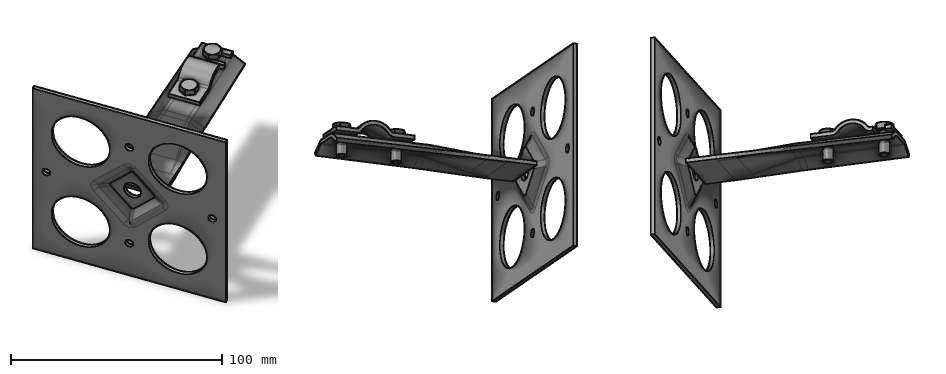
import cadquery as cq
import math

SHEET = 2.0

PLATE_WIDTH = 99.5
PLATE_HEIGHT = 100.0
LARGE_HOLE_DIA = 30.0
LARGE_HOLE_PITCH = 50.0
SMALL_HOLE_DIA = 4.0
SMALL_HOLE_X = 42.7
SMALL_HOLE_Z = 30.0
CUP_DEPTH = 4.0
CUP_SLOPE = 39.0
CUP_FLOOR_SIDE = 17.0
CUP_CORNER_RADIUS = 1.9
CUP_MOUTH_RADIUS = 5.2
CUP_HOLE_DIA = 8.8
CUP_BACK_Y = SHEET + CUP_DEPTH

ARM_END_Y = 108.02
TAB_HALF_WIDTH = 14.63
TAB_TOP_Z = SHEET / 2
FOLD_RADIUS = 3.7
FOLD_START_BAND = 0.1
TAB_FOLD_HALF_WIDTH = 11.95
LOWER_BEND_Y = (21.0, 30.5)
UPPER_BEND_Y = (54.6, 57.7)
CHANNEL_RISE = 4.4
RAMP_FOLD_HALF_WIDTH = 11.4
CHANNEL_FOLD_HALF_WIDTH = 6.7
CHANNEL_HALF_WIDTH = 14.3
END_FOLD_HALF_WIDTH = 6.57
END_HALF_WIDTH = 13.6

CLIP_Y = 86.0
CLIP_LENGTH = 40.2
CLIP_WIDTH = 16.0
CLIP_BOTTOM_Z = 6.6
CLIP_TOP_Z = CLIP_BOTTOM_Z + SHEET
ARCH_RADIUS = 10.0
ARCH_TOP_Z = 13.5
ARCH_BEND_RADIUS = 1.7
CLIP_HOLE_DIA = 6.0

BOLT_SPACING = 28.0
BOLT_DIA = 5.0
BOLT_LENGTH = 12.0
BOLT_TIP_CHAMFER = 0.4
HEAD_ACROSS_FLATS = 8.0
HEAD_HEIGHT = 3.5
HEAD_CROWN_ANGLE = 30.0
WASHER_FACE_HEIGHT = 0.3
WASHER_FACE_DIA = 7.0
NEAR_BOLT_Y = CLIP_Y - BOLT_SPACING / 2
FAR_BOLT_Y = CLIP_Y + BOLT_SPACING / 2


def cup_frustum(floor_side, floor_y, height, corner_radius):
    """Diamond frustum widening from its floor toward the plate face, with rounded corners."""
    mouth_side = floor_side + 2 * height / math.tan(math.radians(CUP_SLOPE))
    frustum = (
        cq.Workplane("XZ", origin=(0, floor_y, 0))
        .transformed(rotate=(0, 0, 45))
        .rect(floor_side, floor_side)
        .workplane(offset=height)
        .rect(mouth_side, mouth_side)
        .loft(ruled=True)
    )
    return frustum.edges("not(#Y)").fillet(corner_radius)


def make_plate():
    plate = cq.Workplane("XY").box(PLATE_WIDTH, SHEET, PLATE_HEIGHT, centered=(True, False, True))

    floor_growth = 2 * SHEET * math.tan(math.radians(CUP_SLOPE / 2))
    outer_side = CUP_FLOOR_SIDE + floor_growth
    outer = cup_frustum(outer_side, CUP_BACK_Y, CUP_DEPTH, CUP_CORNER_RADIUS + SHEET)
    plate = plate.union(outer)
    plate = plate.edges(cup_rim(SHEET)).fillet(CUP_MOUTH_RADIUS - SHEET)

    inner = cup_frustum(CUP_FLOOR_SIDE, CUP_DEPTH, CUP_DEPTH, CUP_CORNER_RADIUS)
    plate = plate.cut(inner)
    plate = plate.edges(cup_rim(0)).fillet(CUP_MOUTH_RADIUS)

    half_pitch = LARGE_HOLE_PITCH / 2
    large_holes = [(x, z) for x in (-half_pitch, half_pitch) for z in (-half_pitch, half_pitch)]
    small_holes = [(-SMALL_HOLE_X, 0), (SMALL_HOLE_X, 0), (0, -SMALL_HOLE_Z), (0, SMALL_HOLE_Z)]
    for centres, diameter in (
        (large_holes, LARGE_HOLE_DIA),
        (small_holes, SMALL_HOLE_DIA),
        ([(0, 0)], CUP_HOLE_DIA),
    ):
        holes = cq.Workplane("XZ").pushPoints(centres).circle(diameter / 2).extrude(-CUP_BACK_Y)
        plate = plate.cut(holes)
    return plate


def cup_rim(y):
    """Selector for the edges where the cup wall meets a plate face."""
    reach = PLATE_WIDTH / 4
    margin = 0.1
    return cq.selectors.BoxSelector(
        (-reach, y - margin, -reach), (reach, y + margin, reach), boundingbox=True
    )


def arm_section(y, rise, fold_half_width, half_width):
    """Folded section of the arm: flat top, two rounded folds and two sloping sides."""
    slope = math.atan2(rise, half_width - fold_half_width)
    centre_x = fold_half_width - FOLD_RADIUS * math.tan(slope / 2)
    centre_z = TAB_TOP_Z + rise - FOLD_RADIUS

    def half_skin(depth):
        radius = FOLD_RADIUS - depth
        fold = [
            (centre_x + radius * math.sin(angle), centre_z + radius * math.cos(angle))
            for angle in (0, slope / 2, slope)
        ]
        edge = (half_width - depth * math.sin(slope), TAB_TOP_Z - depth * math.cos(slope))
        return fold + [edge]

    return section_wire(y, half_skin(0), half_skin(SHEET))


def tab_section(y):
    """Flat section of the tab, divided where the folds begin."""
    def half_skin(z):
        start = TAB_FOLD_HALF_WIDTH - FOLD_START_BAND / 2
        xs = (start, TAB_FOLD_HALF_WIDTH, start + FOLD_START_BAND, TAB_HALF_WIDTH)
        return [(x, z) for x in xs]

    return section_wire(y, half_skin(TAB_TOP_Z), half_skin(TAB_TOP_Z - SHEET), folded=False)


def section_wire(y, outer, inner, folded=True):
    """Closed section from two half skins, each listing three fold points and the sheet edge."""
    def mirror(points):
        return [(-x, z) for x, z in reversed(points)]

    def skin_edges(points):
        edge_a, fold_a, middle_a, top_a, top_b, middle_b, fold_b, edge_b = points
        return [
            line(edge_a, fold_a),
            bend(fold_a, middle_a, top_a),
            line(top_a, top_b),
            bend(top_b, middle_b, fold_b),
            line(fold_b, edge_b),
        ]

    def place(point):
        return cq.Vector(point[0], y, point[1])

    def line(start, end):
        return cq.Edge.makeLine(place(start), place(end))

    def bend(start, middle, end):
        if folded:
            return cq.Edge.makeThreePointArc(place(start), place(middle), place(end))
        return line(start, end)

    over = mirror(outer) + outer
    under = list(reversed(mirror(inner) + inner))
    edges = skin_edges(over)
    edges.append(line(over[-1], under[0]))
    edges += skin_edges(under)
    edges.append(line(under[-1], over[0]))
    return cq.Wire.assembleEdges(edges)


def make_arm():
    bend_start, bend_end = LOWER_BEND_Y
    ramp_end, channel_start = UPPER_BEND_Y

    lower_run = (bend_end - bend_start) / 2
    upper_run = (channel_start - ramp_end) / 2
    ramp_slope = CHANNEL_RISE / (lower_run + (ramp_end - bend_end) + upper_run)
    ramp_foot_rise = ramp_slope * lower_run
    ramp_top_rise = CHANNEL_RISE - ramp_slope * upper_run

    sections = [
        tab_section(bend_start),
        arm_section(bend_end, ramp_foot_rise, RAMP_FOLD_HALF_WIDTH, TAB_HALF_WIDTH),
        arm_section(ramp_end, ramp_top_rise, CHANNEL_FOLD_HALF_WIDTH, CHANNEL_HALF_WIDTH),
        arm_section(channel_start, CHANNEL_RISE, CHANNEL_FOLD_HALF_WIDTH, CHANNEL_HALF_WIDTH),
        arm_section(ARM_END_Y, CHANNEL_RISE, END_FOLD_HALF_WIDTH, END_HALF_WIDTH),
    ]
    folded_part = cq.Workplane(cq.Solid.makeLoft(sections, True))

    tab = cq.Workplane("XY", origin=(0, CUP_BACK_Y, -SHEET / 2)).box(
        2 * TAB_HALF_WIDTH, bend_start - CUP_BACK_Y, SHEET, centered=(True, False, False)
    )
    arm = tab.union(folded_part)

    bolt_centres = [(0, NEAR_BOLT_Y), (0, FAR_BOLT_Y)]
    channel_top_z = TAB_TOP_Z + CHANNEL_RISE
    holes = (
        cq.Workplane("XY", origin=(0, 0, channel_top_z))
        .pushPoints(bolt_centres)
        .circle(BOLT_DIA / 2)
        .extrude(-2 * SHEET)
    )
    return arm.cut(holes)


def make_clip():
    arch_z = ARCH_TOP_Z - ARCH_RADIUS
    bend_z = CLIP_TOP_Z + ARCH_BEND_RADIUS
    centre_distance = ARCH_RADIUS + ARCH_BEND_RADIUS
    flat_end = math.sqrt(centre_distance**2 - (bend_z - arch_z) ** 2)
    arch_half_angle = math.asin(flat_end / centre_distance)
    half_length = CLIP_LENGTH / 2

    def on_arch(radius, angle):
        return (radius * math.sin(angle), arch_z + radius * math.cos(angle))

    def on_bend(side, radius, angle):
        return (side * (flat_end - radius * math.sin(angle)), bend_z - radius * math.cos(angle))

    def skin(path, side, arch_radius, bend_radius, flat_z):
        """Flat, bend, arch, bend and flat, drawn away from the given side."""
        half_bend = arch_half_angle / 2
        return (
            path.lineTo(side * flat_end, flat_z)
            .threePointArc(
                on_bend(side, bend_radius, half_bend), on_arch(arch_radius, side * arch_half_angle)
            )
            .threePointArc(on_arch(arch_radius, 0), on_arch(arch_radius, -side * arch_half_angle))
            .threePointArc(on_bend(-side, bend_radius, half_bend), (-side * flat_end, flat_z))
            .lineTo(-side * half_length, flat_z)
        )

    path = cq.Workplane("YZ", origin=(0, CLIP_Y, 0)).moveTo(-half_length, CLIP_TOP_Z)
    path = skin(path, -1, ARCH_RADIUS, ARCH_BEND_RADIUS, CLIP_TOP_Z)
    path = path.lineTo(half_length, CLIP_BOTTOM_Z)
    path = skin(path, 1, ARCH_RADIUS - SHEET, ARCH_BEND_RADIUS + SHEET, CLIP_BOTTOM_Z)
    clip = path.close().extrude(CLIP_WIDTH / 2, both=True)

    base = cq.Workplane("XY", origin=(0, 0, CLIP_BOTTOM_Z))
    holes = base.pushPoints([(0, NEAR_BOLT_Y), (0, FAR_BOLT_Y)]).circle(CLIP_HOLE_DIA / 2).extrude(SHEET)
    slot = base.center(CLIP_WIDTH / 4, FAR_BOLT_Y).rect(CLIP_WIDTH / 2, CLIP_HOLE_DIA).extrude(SHEET)
    return clip.cut(holes).cut(slot)


def make_bolt(y):
    """Hexagon bolt with corners along Y, its head resting on the clip."""
    base = cq.Workplane("XY", origin=(0, y, CLIP_TOP_Z))
    washer_face = base.circle(WASHER_FACE_DIA / 2).extrude(WASHER_FACE_HEIGHT)
    corner_radius = HEAD_ACROSS_FLATS / 2 / math.cos(math.pi / 6)
    head = (
        base.transformed(offset=(0, 0, WASHER_FACE_HEIGHT), rotate=(0, 0, 90))
        .polygon(6, 2 * corner_radius)
        .extrude(HEAD_HEIGHT - WASHER_FACE_HEIGHT)
    )
    crown_run = corner_radius - HEAD_ACROSS_FLATS / 2
    crown_drop = crown_run * math.tan(math.radians(HEAD_CROWN_ANGLE))
    crown = base.circle(corner_radius).extrude(HEAD_HEIGHT).faces(">Z").chamfer(crown_drop, crown_run)
    shank = base.circle(BOLT_DIA / 2).extrude(-BOLT_LENGTH).faces("<Z").chamfer(BOLT_TIP_CHAMFER)
    return head.intersect(crown).union(washer_face).union(shank)


plate = make_plate()
arm = make_arm()
clip = make_clip()
bolts = [make_bolt(y) for y in (NEAR_BOLT_Y, FAR_BOLT_Y)]

result = cq.Compound.makeCompound(
    [plate.val(), arm.val(), clip.val(), *[bolt.val() for bolt in bolts]]
)